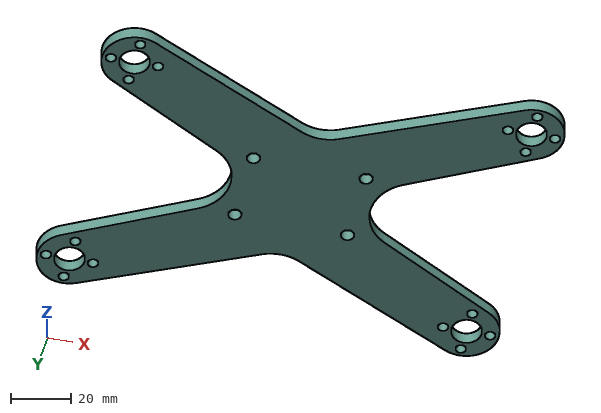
import cadquery as cq
import math

length = 158.0
width = 112.7
thickness = 4.7

tip_radius = 11.0
motor_x = length / 2 - tip_radius
motor_y = width / 2 - tip_radius

notch_radius = 15.0
hub_half_length = 24.0
hub_half_width = 26.7
side_notch_x = hub_half_length + notch_radius
end_notch_y = hub_half_width + notch_radius

shaft_diameter = 10.3
motor_screw_diameter = 3.5
motor_screw_offset = 8.0
hub_screw_diameter = 4.5
hub_screw_x = 19.3
hub_screw_y = 13.0


def edge_points(notch_center, turn):
    """Ends of the straight arm edge tangent to a notch arc and the arm tip in the +X +Y quadrant.

    The edge runs between the two circles, so its normal makes a fixed angle with
    the line joining their centers. The turn (+1 or -1) picks the side of that line.
    """
    notch_x, notch_y = notch_center
    dx = notch_x - motor_x
    dy = notch_y - motor_y
    spread = math.acos((tip_radius + notch_radius) / math.hypot(dx, dy))
    normal = math.atan2(dy, dx) + turn * spread
    nx = math.cos(normal)
    ny = math.sin(normal)
    at_notch = (notch_x - notch_radius * nx, notch_y - notch_radius * ny)
    at_tip = (motor_x + tip_radius * nx, motor_y + tip_radius * ny)
    return at_notch, at_tip


def make_plate():
    """Quarter of the X-shaped plate, mirrored into all four quadrants."""
    side_notch, side_tip = edge_points((side_notch_x, 0), 1)
    end_notch, end_tip = edge_points((0, end_notch_y), -1)
    quarter = (
        cq.Workplane("XY")
        .lineTo(hub_half_length, 0)
        .radiusArc(side_notch, notch_radius)
        .lineTo(*side_tip)
        .threePointArc(tip_far_point(), end_tip)
        .lineTo(*end_notch)
        .radiusArc((0, hub_half_width), notch_radius)
        .close()
        .extrude(thickness)
    )
    half = quarter.union(quarter.mirror("YZ"))
    return half.union(half.mirror("XZ")).clean()


def tip_far_point():
    """Point of the arm tip farthest from the plate center."""
    reach = 1 + tip_radius / math.hypot(motor_x, motor_y)
    return motor_x * reach, motor_y * reach


def drill(plate, centers, diameter):
    """Cut holes right through the plate at the given centers."""
    holes = cq.Workplane("XY").pushPoints(centers).circle(diameter / 2).extrude(thickness)
    return plate.cut(holes)


def four_corners(x, y):
    """Point repeated in all four quadrants."""
    return [(sx * x, sy * y) for sx in (-1, 1) for sy in (-1, 1)]


motor_centers = four_corners(motor_x, motor_y)
screw_directions = [(1, 0), (0, 1), (-1, 0), (0, -1)]
motor_screws = [
    (x + motor_screw_offset * ux, y + motor_screw_offset * uy)
    for x, y in motor_centers
    for ux, uy in screw_directions
]

result = make_plate()
result = drill(result, motor_centers, shaft_diameter)
result = drill(result, motor_screws, motor_screw_diameter)
result = drill(result, four_corners(hub_screw_x, hub_screw_y), hub_screw_diameter)